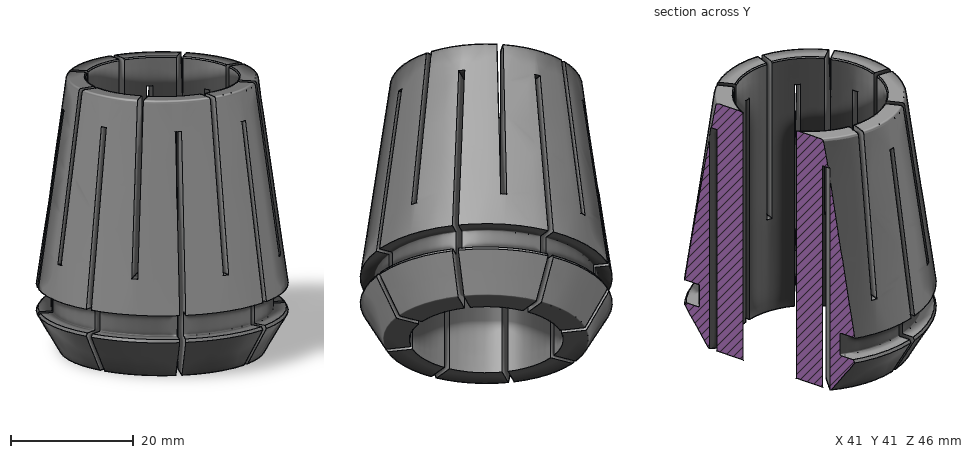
import cadquery as cq
import math

height = 46.0
max_radius = 20.5
bore_radius = 12.5
bore_chamfer = 0.2

taper_half_angle = 8.0
taper_base_z = 11.15
top_rim_fillet = 0.5

groove_radius = 18.1
groove_root_fillet = 0.2
groove_base_z = 7.1
nose_edge_z = 6.6
nose_half_angle = 30.0
nose_edge_setback = 0.3
nose_base_fillet = 0.3

edge_tolerance = 0.01

slits_per_end = 8
slit_width = 1.0
top_slit_floor_z = 17.0
bottom_slit_ceiling_z = 41.0

slit_pitch = 360.0 / slits_per_end
top_radius = max_radius - (height - taper_base_z) * math.tan(math.radians(taper_half_angle))
nose_base_radius = max_radius - nose_edge_z * math.tan(math.radians(nose_half_angle))


def collet_body():
    """Bored body of revolution with sharp edges: nose, groove and long taper."""
    half_profile = (
        cq.Workplane("XZ")
        .moveTo(bore_radius, 0)
        .lineTo(nose_base_radius, 0)
        .lineTo(max_radius, nose_edge_z)
        .lineTo(max_radius - nose_edge_setback, groove_base_z)
        .lineTo(groove_radius, groove_base_z)
        .lineTo(groove_radius, taper_base_z)
        .lineTo(max_radius, taper_base_z)
        .lineTo(top_radius, height)
        .lineTo(bore_radius, height)
        .close()
    )
    return half_profile.revolve(360, (0, 0, 0), (0, 1, 0))


def circles_of_radius(body, radius):
    """Circular edges of the body that have the given radius."""
    circles = body.edges("%CIRCLE").vals()
    return body.newObject([edge for edge in circles if abs(edge.radius() - radius) < edge_tolerance])


def soften_edges(body):
    """Round both end rims and the groove roots, then chamfer the upper edge of the bore."""
    body = circles_of_radius(body, top_radius).fillet(top_rim_fillet)
    body = circles_of_radius(body, nose_base_radius).fillet(nose_base_fillet)
    body = circles_of_radius(body, groove_radius).fillet(groove_root_fillet)
    innermost = cq.selectors.RadiusNthSelector(0)
    return body.faces(">Z").edges(innermost).chamfer(bore_chamfer)


def radial_slits(bottom_z, top_z, start_angle):
    """Star of slit blades through the axis, reaching past the rim, between two heights."""
    blade = (
        cq.Workplane("XY", origin=(0, 0, bottom_z))
        .rect(2 * max_radius + slit_width, slit_width)
        .extrude(top_z - bottom_z)
    )
    blades = cq.Workplane("XY")
    for index in range(slits_per_end // 2):
        blades = blades.add(blade.rotate((0, 0, 0), (0, 0, 1), start_angle + index * slit_pitch))
    return blades.combine()


result = (
    soften_edges(collet_body())
    .cut(radial_slits(top_slit_floor_z, height, slit_pitch / 2))
    .cut(radial_slits(0, bottom_slit_ceiling_z, 0))
)